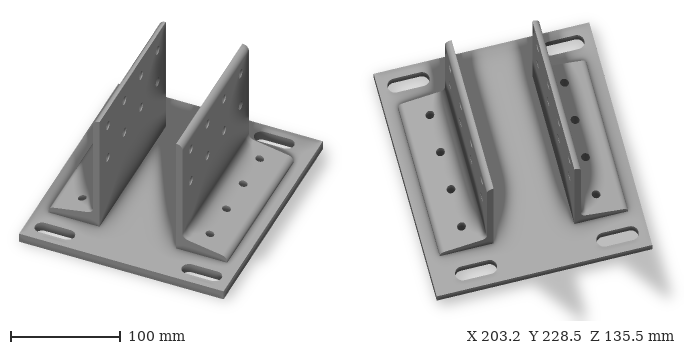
import cadquery as cq

plate_width = 203.2
plate_depth = 228.5
plate_thickness = 9.5

slot_length = 39.3
slot_width = 14.0
slot_side_inset = 28.5
slot_end_inset = 16.2
back_right_shift = 12.8

bracket_gap = 76.1
bracket_length = 152.5
foot_width = 50.7
bracket_height = 126.0
leg_thickness = 6.5
toe_thickness = leg_thickness
root_thickness = 14.6
bracket_radius = 6.2

leg_hole_diameter = 8.7
foot_hole_diameter = 8.0
hole_pitch = 38.2
holes_per_row = 4
top_row_inset = 19.2

leg_face_x = bracket_gap / 2
foot_hole_x = leg_face_x + foot_width / 2
bracket_top = plate_thickness + bracket_height
upper_row_z = bracket_top - top_row_inset
leg_row_heights = [upper_row_z, upper_row_z - hole_pitch]
hole_ys = [(i - (holes_per_row - 1) / 2) * hole_pitch for i in range(holes_per_row)]


def foot_hole_cutters(side):
    """Vertical cylinders for the row of holes through a foot and the plate below it."""
    return (
        cq.Workplane("XY")
        .pushPoints([(side * foot_hole_x, y) for y in hole_ys])
        .circle(foot_hole_diameter / 2)
        .extrude(bracket_top)
    )


def make_plate():
    """Flat plate with four slots and the bolt holes shared with the brackets."""
    slot_x = plate_width / 2 - slot_side_inset
    slot_y = plate_depth / 2 - slot_end_inset
    slot_centres = [
        (-slot_x, -slot_y),
        (slot_x, -slot_y),
        (-slot_x, slot_y),
        (slot_x - back_right_shift, slot_y),
    ]
    slots = (
        cq.Workplane("XY")
        .pushPoints(slot_centres)
        .slot2D(slot_length, slot_width)
        .extrude(plate_thickness)
    )
    plate = cq.Workplane("XY").box(plate_width, plate_depth, plate_thickness, centered=(True, True, False))
    plate = plate.cut(slots)
    for side in (-1, 1):
        plate = plate.cut(foot_hole_cutters(side))
    return plate


def bracket_blank(side):
    """Angle section with a tapered foot, pointing outward on the given side of X = 0."""
    section = [
        (0, 0),
        (foot_width, 0),
        (foot_width, toe_thickness),
        (leg_thickness, root_thickness),
        (leg_thickness, bracket_height),
        (0, bracket_height),
    ]
    rounded_corners = [section[2], section[3], section[4]]

    def place(point):
        return side * (leg_face_x + point[0]), plate_thickness + point[1]

    blank = (
        cq.Workplane("XZ")
        .polyline([place(point) for point in section])
        .close()
        .extrude(bracket_length / 2, both=True)
    )
    for corner in rounded_corners:
        x, z = place(corner)
        edge = cq.selectors.NearestToPointSelector((x, 0, z))
        blank = blank.edges("|Y").edges(edge).fillet(bracket_radius)
    return blank


def leg_hole_cutters(side):
    """Horizontal cylinders for the two rows of holes through an upright leg."""
    return (
        cq.Workplane("YZ")
        .pushPoints([(y, z) for y in hole_ys for z in leg_row_heights])
        .circle(leg_hole_diameter / 2)
        .extrude(side * (leg_face_x + foot_width))
    )


def make_bracket(side):
    """Complete angle bracket: side is -1 for the left one and 1 for the right one."""
    return bracket_blank(side).cut(foot_hole_cutters(side)).cut(leg_hole_cutters(side))


plate = make_plate()
brackets = [make_bracket(side) for side in (-1, 1)]

solids = [body.solids().val() for body in (plate, *brackets)]
result = cq.Compound.makeCompound(solids)